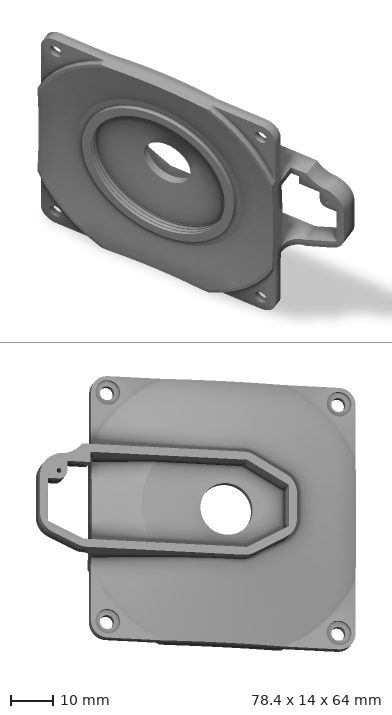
import cadquery as cq
import math

plate_size = 64.0
plate_half = plate_size / 2
corner_radius = 4.0
pad_front_y = 1.6
plate_back_y = 4.1
hole_spacing = 56.0
hole_diameter = 3.4
counterbore_diameter = 5.95
counterbore_floor_y = pad_front_y + 1.7

disc_radius = 35.2
dish_radius = 34.3
dish_floor_radius = 22.65
dish_floor_y = 2.35
collar_radius = 41.3 / 2
collar_y = 1.3
bore_radius = 18.3
bore_end_y = 4.5
cup_center_y = 5.9
hole_radius = 12.6 / 2
dome_slope = 0.256
pocket_floor_y = 7.85

groove_count = 3
groove_depth = 0.2
groove_width = 0.5
groove_pitch = 1.0

back_y = 14.0
overhang_y = 9.0
loop_left = -15.75
loop_right = plate_half + 14.4
loop_half_height = 12.6
wall = 1.95
bend_radius = 5.0
pick = 0.1
left_corner_x = -4.2
left_corner_z = 6.2
right_corner_x = 36.2
right_corner_z = -8.0
gusset_radius = 9.0 / 2

boss_x = 41.8
boss_z = 5.7
boss_radius = 1.95
boss_hole_diameter = 1.2
shoulder_start_x = 36.2
shoulder_mid_x = 38.2
shoulder_mid_z = 10.9
shoulder_end_x = 40.45
shoulder_z = 10.0
crest_mid_x = 41.5
crest_mid_z = 9.995
crest_end_x = 42.4
crest_end_z = 9.8
nose_x = 43.1
nose_z = 9.5
nose_end_z = 4.4
ledge_x = 34.2
ledge_z = 8.15


def xz_plane(y):
    """Plane at height y, with local axes along +X and +Z and its normal along -Y."""
    return cq.Workplane("XZ", origin=(0, y, 0))


def extrude_y(sketch, length):
    """Extrude a sketch toward +Y."""
    return sketch.extrude(-length)


def revolve_y(points):
    """Solid of revolution about Y from (radius, y) points."""
    return cq.Workplane("XY").polyline(points).close().revolve(360, (0, 0, 0), (0, 1, 0))


def make_groove(start_y):
    """Ring that cuts one groove into the bore wall."""
    profile = xz_plane(start_y).circle(bore_radius + groove_depth).circle(bore_radius - groove_depth)
    return extrude_y(profile, groove_width)


def make_flange():
    square = extrude_y(xz_plane(0).rect(plate_size, plate_size), back_y)
    square = square.edges("|Y").fillet(corner_radius)
    pads = square.intersect(
        extrude_y(xz_plane(pad_front_y).rect(plate_size, plate_size), plate_back_y - pad_front_y)
    )
    apex_y = plate_back_y + dome_slope * disc_radius
    dome = revolve_y([(0, 0), (disc_radius, 0), (disc_radius, plate_back_y), (0, apex_y)])
    return pads.union(dome.intersect(square))


def loop_outline():
    """Outer outline of the rear loop, filled and full depth."""
    bent_corners = [
        (loop_right, right_corner_z),
        (right_corner_x, -loop_half_height),
        (left_corner_x, -loop_half_height),
        (loop_left, -left_corner_z),
        (loop_left, left_corner_z),
        (left_corner_x, loop_half_height),
    ]
    outline = (
        xz_plane(plate_back_y)
        .moveTo(shoulder_start_x, loop_half_height)
        .threePointArc((shoulder_mid_x, shoulder_mid_z), (shoulder_end_x, shoulder_z))
        .threePointArc((crest_mid_x, crest_mid_z), (crest_end_x, crest_end_z))
        .lineTo(nose_x, nose_z)
        .tangentArcPoint((loop_right, nose_end_z), relative=False)
    )
    for x, z in bent_corners:
        outline = outline.lineTo(x, z)
    solid = extrude_y(outline.close(), back_y - plate_back_y)
    for x, z in bent_corners:
        corner = cq.selectors.BoxSelector((x - pick, 0, z - pick), (x + pick, back_y, z + pick))
        solid = solid.edges(corner).fillet(bend_radius)
    return solid


def loop_cavity():
    """Space inside the loop wall, with the screw boss left standing."""
    inner_top = loop_half_height - wall
    inner_right = loop_right - wall
    left_turn = math.atan2(loop_half_height - left_corner_z, left_corner_x - loop_left)
    right_turn = math.atan2(loop_half_height + right_corner_z, loop_right - right_corner_x)
    inner_left_z = left_corner_z - wall * math.tan((math.pi / 2 - left_turn) / 2)
    inner_left_x = left_corner_x + wall * math.tan(left_turn / 2)
    inner_right_x = right_corner_x - wall * math.tan(right_turn / 2)
    inner_right_z = right_corner_z + wall * math.tan((math.pi / 2 - right_turn) / 2)
    boss_left = boss_x - boss_radius
    boss_bottom = boss_z - boss_radius
    arc_offset = boss_radius * math.sqrt(0.5)
    outline = (
        xz_plane(plate_back_y)
        .moveTo(loop_left + wall, inner_left_z)
        .lineTo(inner_left_x, inner_top)
        .lineTo(ledge_x, inner_top)
        .lineTo(ledge_x, ledge_z)
        .lineTo(boss_left, ledge_z)
        .lineTo(boss_left, boss_z)
        .threePointArc((boss_x - arc_offset, boss_z - arc_offset), (boss_x, boss_bottom))
        .lineTo(inner_right, boss_bottom)
        .lineTo(inner_right, inner_right_z)
        .lineTo(inner_right_x, -inner_top)
        .lineTo(inner_left_x, -inner_top)
        .lineTo(loop_left + wall, -inner_left_z)
        .close()
    )
    return extrude_y(outline, back_y - plate_back_y)


def make_gusset():
    """Concave bracket under the lower wall, where it leaves the flange."""
    arc_mid = gusset_radius * (1 - math.sqrt(0.5))
    return (
        cq.Workplane("XY", origin=(0, 0, -loop_half_height))
        .moveTo(plate_half, overhang_y)
        .lineTo(plate_half + gusset_radius, overhang_y)
        .threePointArc(
            (plate_half + arc_mid, overhang_y - arc_mid),
            (plate_half, overhang_y - gusset_radius),
        )
        .close()
        .extrude(wall)
    )


def make_loop(cavity):
    walls = loop_outline().cut(cavity)
    overhang_gap = cq.Workplane("XY", origin=(plate_half, 0, 0)).box(
        loop_right, overhang_y, plate_size, centered=(False, False, True)
    )
    boss_hole = extrude_y(xz_plane(0).center(boss_x, boss_z).circle(boss_hole_diameter / 2), back_y)
    return walls.cut(overhang_gap).cut(boss_hole).union(make_gusset())


def front_dish():
    """Stepped conical hollow in the front, with the central through hole."""
    return revolve_y([
        (0, 0),
        (dish_radius, 0),
        (dish_floor_radius, dish_floor_y),
        (collar_radius, dish_floor_y),
        (collar_radius, collar_y),
        (bore_radius, collar_y),
        (bore_radius, bore_end_y),
        (hole_radius, cup_center_y),
        (hole_radius, back_y),
        (0, back_y),
    ])


def corner_bores(diameter, start_y):
    """Four corner cylinders running from start_y to the back of the flange."""
    centers = xz_plane(start_y).rect(hole_spacing, hole_spacing, forConstruction=True).vertices()
    return extrude_y(centers.circle(diameter / 2), plate_back_y - start_y)


cavity = loop_cavity()
rear_pocket = cavity.intersect(
    extrude_y(xz_plane(pocket_floor_y).rect(plate_size, plate_size), back_y - pocket_floor_y)
)
result = make_flange().cut(rear_pocket).union(make_loop(cavity)).cut(front_dish())

for index in range(groove_count):
    groove_y = collar_y + groove_width + index * groove_pitch
    result = result.cut(make_groove(groove_y))

result = result.cut(corner_bores(hole_diameter, 0))
result = result.cut(corner_bores(counterbore_diameter, counterbore_floor_y))